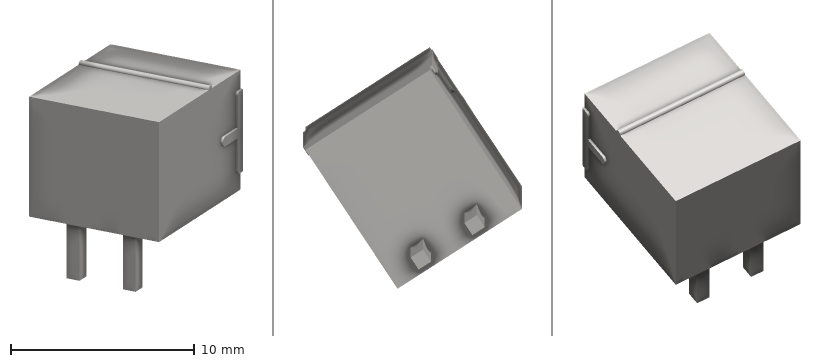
import cadquery as cq

pitch = 3.5
module_count = 2
end_wall = 0.55
row_width = module_count * pitch + 2 * end_wall
left_x = -row_width / 2
right_x = row_width / 2
first_module_x = left_x + end_wall

body_depth = 9.2
body_height = 7.0
front_y = -body_depth / 2
back_y = body_depth / 2

rib_radius = 0.2
rib_back_distance = 3.4
rib_y = back_y - rib_back_distance

pad_thickness = 0.15
pad_bar_width = 0.57
pad_bar_length = 4.8
pad_corner_radius = 0.2
pad_stem_reach = 2.25
pad_stem_width = 0.57

overall_height = 10.72
pin_length = overall_height - body_height - rib_radius
pin_size = 0.8
pin_front_gap = 0.8
pin_y = front_y + pin_front_gap + pin_size / 2


def make_slice(start_x, width):
    """Slice of the row along X: a rectangle in YZ with the half-round rib on top."""
    return (
        cq.Workplane("YZ", origin=(start_x, 0, 0))
        .moveTo(front_y, 0)
        .lineTo(back_y, 0)
        .lineTo(back_y, body_height)
        .lineTo(rib_y + rib_radius, body_height)
        .threePointArc(
            (rib_y, body_height + rib_radius),
            (rib_y - rib_radius, body_height),
        )
        .lineTo(front_y, body_height)
        .close()
        .extrude(width)
    )


def make_side_pad(start_x):
    """T-shaped pad: a bar along the back edge and a round-ended stem toward the front."""
    back_middle = (start_x, back_y, body_height / 2)
    bar = (
        cq.Workplane("YZ", origin=back_middle)
        .center(-pad_bar_width / 2, 0)
        .rect(pad_bar_width, pad_bar_length)
        .extrude(pad_thickness)
        .edges("|X and <Y")
        .fillet(pad_corner_radius)
    )
    stem_radius = pad_stem_width / 2
    stem_arc_start = stem_radius - pad_stem_reach
    stem = (
        cq.Workplane("YZ", origin=back_middle)
        .moveTo(0, stem_radius)
        .lineTo(stem_arc_start, stem_radius)
        .threePointArc((-pad_stem_reach, 0), (stem_arc_start, -stem_radius))
        .lineTo(0, -stem_radius)
        .close()
        .extrude(pad_thickness)
    )
    return bar.union(stem)


def make_pin(pin_x):
    """Square pin hanging from the underside of a module."""
    return (
        cq.Workplane("XY", origin=(pin_x, pin_y, 0))
        .rect(pin_size, pin_size)
        .extrude(-pin_length)
    )


def make_end_plate():
    """Thin plate that closes the left side of the row and carries the left pad."""
    return make_slice(left_x, end_wall).union(make_side_pad(left_x - pad_thickness))


def make_module(index):
    """One pole of the block with its pin; the last one adds the right end wall and pad."""
    start_x = first_module_x + index * pitch
    pin = make_pin(start_x + pitch / 2)
    is_last = index == module_count - 1
    if is_last:
        closed_slice = make_slice(start_x, pitch + end_wall)
        return closed_slice.union(make_side_pad(right_x)).union(pin)
    return make_slice(start_x, pitch).union(pin)


end_plate = make_end_plate()
modules = [make_module(index) for index in range(module_count)]

result = cq.Compound.makeCompound([end_plate.val(), *[module.val() for module in modules]])